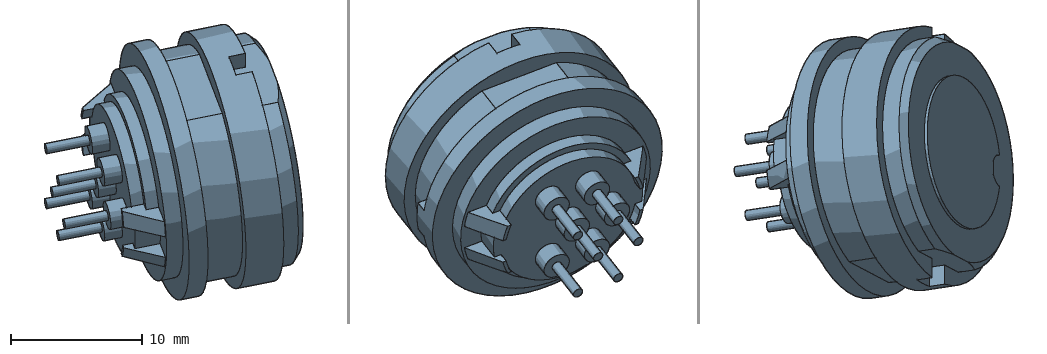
import cadquery as cq
import math


PIN_TIP_Y = -8.1
COLLAR_END_Y = -4.7
CLAW_END_Y = -4.1
INSERT_END_Y = -3.3
STEP_END_Y = -2.3
SHOULDER_END_Y = -1.3
FLANGE_FRONT_Y = 0.0
FLANGE_REAR_Y = 1.5
NUT_FRONT_Y = 4.5
NUT_REAR_Y = 7.5
BODY_REAR_Y = 9.45
LIP_REAR_Y = 9.7

FLANGE_RADIUS = 10.0
NUT_RADIUS = 10.0
BODY_RADIUS = 9.03
SHOULDER_RADIUS = 8.25
STEP_RADIUS = 6.5
INSERT_RADIUS = 5.92
LIP_RADIUS = 5.92

BODY_ACROSS_FLATS = 16.86
BODY_CHAMFER = 0.53

NOTCH_RADIUS = 1.25
NOTCH_FLOOR_WIDTH = 1.08

SLOT_WIDTH = 2.0
SLOT_DEPTH = 1.3

KEY_WIDTH = 2.76
KEY_LENGTH = 0.95

CLAW_BASE_RADIUS = 8.0
CLAW_TIP_RADIUS = 6.2
CLAW_INNER_Z = 1.13
CLAW_WIDTH = 1.35

CONTACT_CIRCLE_RADIUS = 3.5
CONTACT_ANGLES = (-120, -60, 0, 60, 120)
COLLAR_RADIUS = 1.1
PIN_RADIUS = 0.4


def disc(radius, start_y, end_y, x=0.0, z=0.0):
    """Cylinder along Y between two stations."""
    axis = cq.Vector(0, 1, 0)
    base = cq.Vector(x, start_y, z)
    return cq.Workplane(cq.Solid.makeCylinder(radius, end_y - start_y, base, axis))


def block(x_range, y_range, z_range):
    """Axis-aligned box given by its limits."""
    size = [high - low for low, high in (x_range, y_range, z_range)]
    corner = (x_range[0], y_range[0], z_range[0])
    return cq.Workplane("XY").box(*size, centered=False).translate(corner)


def make_body():
    """Threaded barrel, chamfered at the mating end, with flats at +Z and -Z."""
    barrel = disc(BODY_RADIUS, FLANGE_FRONT_Y, BODY_REAR_Y).faces(">Y").chamfer(BODY_CHAMFER)
    half_flats = BODY_ACROSS_FLATS / 2
    envelope = block(
        (-BODY_RADIUS, BODY_RADIUS),
        (FLANGE_FRONT_Y, BODY_REAR_Y),
        (-half_flats, half_flats),
    )
    return barrel.intersect(envelope)


def make_nut():
    """Ring nut with a spanner slot at +Z and -Z; the body fills the slots up to its flats."""
    slot = block(
        (-SLOT_WIDTH / 2, SLOT_WIDTH / 2),
        (NUT_REAR_Y - SLOT_DEPTH, NUT_REAR_Y),
        (-NUT_RADIUS, NUT_RADIUS),
    )
    return disc(NUT_RADIUS, NUT_FRONT_Y, NUT_REAR_Y).cut(slot)


def make_lip():
    """Low ring at the mating end with a notch centred on its rim at -X."""
    notch_depth = math.sqrt(NOTCH_RADIUS**2 - (NOTCH_FLOOR_WIDTH / 2) ** 2)
    notch = disc(NOTCH_RADIUS, BODY_REAR_Y, LIP_REAR_Y, x=-LIP_RADIUS)
    floor_limit = block(
        (-LIP_RADIUS - NOTCH_RADIUS, -LIP_RADIUS + notch_depth),
        (BODY_REAR_Y, LIP_REAR_Y),
        (-NOTCH_RADIUS, NOTCH_RADIUS),
    )
    return disc(LIP_RADIUS, BODY_REAR_Y, LIP_REAR_Y).cut(notch.intersect(floor_limit))


def make_key():
    """Key at -X that stands on the flange and follows its rim."""
    key = block(
        (-FLANGE_RADIUS, 0),
        (FLANGE_FRONT_Y, FLANGE_REAR_Y + KEY_LENGTH),
        (-KEY_WIDTH / 2, KEY_WIDTH / 2),
    )
    return key.intersect(disc(FLANGE_RADIUS, FLANGE_FRONT_Y, FLANGE_REAR_Y + KEY_LENGTH))


def make_claws():
    """Four claws cut from one conical ring, two on each side."""
    ring = (
        cq.Workplane("XY")
        .moveTo(INSERT_RADIUS, SHOULDER_END_Y)
        .lineTo(CLAW_BASE_RADIUS, SHOULDER_END_Y)
        .lineTo(CLAW_TIP_RADIUS, CLAW_END_Y)
        .lineTo(INSERT_RADIUS, CLAW_END_Y)
        .close()
        .revolve(360, (0, 0, 0), (0, 1, 0))
    )
    span_x = (-CLAW_BASE_RADIUS, CLAW_BASE_RADIUS)
    span_y = (CLAW_END_Y, SHOULDER_END_Y)
    outer_z = CLAW_INNER_Z + CLAW_WIDTH
    upper_band = block(span_x, span_y, (CLAW_INNER_Z, outer_z))
    lower_band = block(span_x, span_y, (-outer_z, -CLAW_INNER_Z))
    return ring.intersect(upper_band.union(lower_band))


def make_pads():
    """Full-length strip of the step, filling the gap between the claws of each pair."""
    strip = block(
        (-STEP_RADIUS, STEP_RADIUS),
        (INSERT_END_Y, SHOULDER_END_Y),
        (-CLAW_INNER_Z, CLAW_INNER_Z),
    )
    return strip.intersect(disc(STEP_RADIUS, INSERT_END_Y, SHOULDER_END_Y))


def make_contact(x, z):
    """Insulating collar with a solder pin through it, both standing on the insert face."""
    collar = disc(COLLAR_RADIUS, COLLAR_END_Y, INSERT_END_Y, x, z)
    return collar.union(disc(PIN_RADIUS, PIN_TIP_Y, INSERT_END_Y, x, z))


def contact_places():
    """X and Z of every contact."""
    places = [(0.0, 0.0)]
    for degrees in CONTACT_ANGLES:
        angle = math.radians(degrees)
        places.append((CONTACT_CIRCLE_RADIUS * math.cos(angle), CONTACT_CIRCLE_RADIUS * math.sin(angle)))
    return places


shell = make_nut().union(make_body())
shell = shell.union(disc(FLANGE_RADIUS, FLANGE_FRONT_Y, FLANGE_REAR_Y))
shell = shell.union(make_key())
shell = shell.union(make_lip())

insert = disc(SHOULDER_RADIUS, SHOULDER_END_Y, FLANGE_FRONT_Y)
insert = insert.union(disc(STEP_RADIUS, STEP_END_Y, SHOULDER_END_Y))
insert = insert.union(disc(INSERT_RADIUS, INSERT_END_Y, SHOULDER_END_Y))
insert = insert.union(make_pads())
insert = insert.union(make_claws())
for contact_x, contact_z in contact_places():
    insert = insert.union(make_contact(contact_x, contact_z))

result = shell.union(insert)